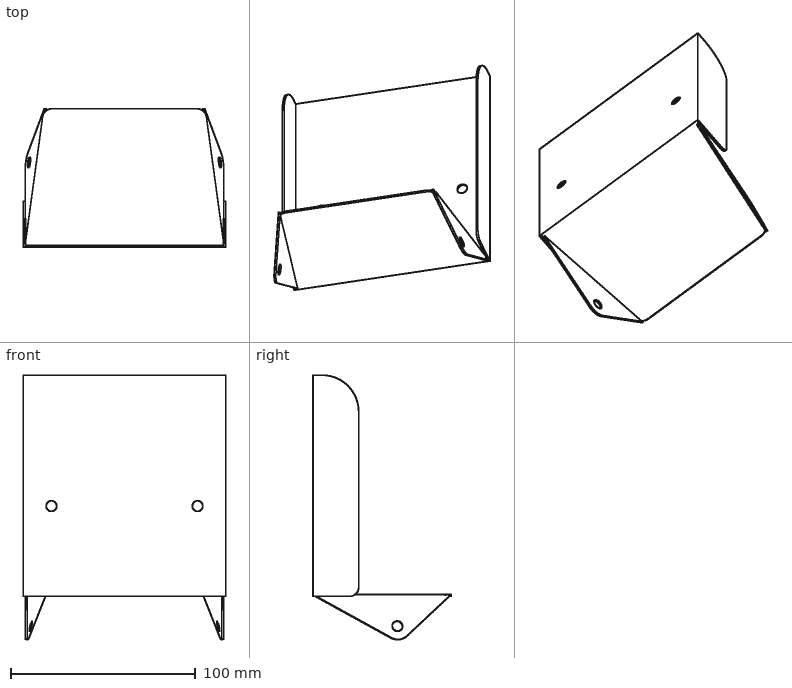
import cadquery as cq
import math

sheet = 1.08
panel_width = 110.0
panel_height = 120.0
panel_hole_spacing = 79.2
panel_hole_height = 49.0
hole_diameter = 5.6

flange_depth = 25.0
flange_top_radius = 20.0
flange_bottom_radius = 5.0

total_depth = 75.0
shelf_front_half = panel_width / 2 - sheet
shelf_rear_half = 43.8
shelf_corner_radius = 5.0

total_height = 143.5
ear_splay = math.radians(14)
ear_hole_y = 46.0
ear_tip_radius = 7.5
ear_front_setback = 0.9
ear_drop = total_height - panel_height - sheet * math.sin(ear_splay)


def make_panel():
    """Upright panel with two fixing holes; its lower front edge is on Z = 0."""
    panel = cq.Workplane("XY").box(panel_width, sheet, panel_height, centered=(True, False, False))
    holes = (
        cq.Workplane("XZ")
        .pushPoints([(side * panel_hole_spacing / 2, panel_hole_height) for side in (-1, 1)])
        .circle(hole_diameter / 2)
        .extrude(-sheet)
    )
    return panel.cut(holes)


def make_flange():
    """Flange on the +X side, rounded at its free corners."""
    flange = (
        cq.Workplane("XY")
        .box(sheet, flange_depth, panel_height, centered=False)
        .translate((panel_width / 2 - sheet, 0, 0))
    )
    flange = flange.edges("|X and >Y and >Z").fillet(flange_top_radius)
    return flange.edges("|X and >Y and <Z").fillet(flange_bottom_radius)


def make_shelf():
    """Horizontal trapezoid behind the panel, with rounded rear corners."""
    return (
        cq.Workplane("XY")
        .polyline([
            (-shelf_front_half, sheet),
            (shelf_front_half, sheet),
            (shelf_rear_half, total_depth),
            (-shelf_rear_half, total_depth),
        ])
        .close()
        .extrude(sheet)
        .edges("|Z and >Y")
        .fillet(shelf_corner_radius)
    )


def tangent_point(corner, center, radius, side):
    """Point where the line from corner touches the circle, on the chosen side."""
    dx = corner[0] - center[0]
    dy = corner[1] - center[1]
    angle = math.atan2(dy, dx) + side * math.acos(radius / math.hypot(dx, dy))
    return (center[0] + radius * math.cos(angle), center[1] + radius * math.sin(angle))


def make_ear():
    """Triangular +X ear with a round tip and a hole concentric with it."""
    taper = math.atan2(shelf_front_half - shelf_rear_half, total_depth - sheet)
    fold = cq.Vector(-math.sin(taper), math.cos(taper), 0)
    normal = cq.Vector(
        math.cos(taper) * math.cos(ear_splay),
        math.sin(taper) * math.cos(ear_splay),
        math.sin(ear_splay),
    )
    plane = cq.Plane(origin=(shelf_front_half, sheet, 0), xDir=fold, normal=normal)

    top = sheet / math.cos(ear_splay)
    hole_v = -(ear_drop - ear_tip_radius * math.cos(ear_splay)) / math.cos(ear_splay)
    splay_shift = -hole_v * math.sin(ear_splay) * math.sin(taper)
    hole_u = (ear_hole_y - sheet - splay_shift) / math.cos(taper)
    center = (hole_u, hole_v)

    front = (ear_front_setback, 0)
    rear_u = (total_depth - sheet + sheet * math.tan(ear_splay) * math.sin(taper)) / math.cos(taper)
    rear = (rear_u, top)
    tip = (hole_u, hole_v - ear_tip_radius)
    return (
        cq.Workplane(plane)
        .moveTo(ear_front_setback, top)
        .lineTo(*front)
        .lineTo(*tangent_point(front, center, ear_tip_radius, 1))
        .threePointArc(tip, tangent_point(rear, center, ear_tip_radius, -1))
        .lineTo(*rear)
        .close()
        .moveTo(*center)
        .circle(hole_diameter / 2)
        .extrude(-sheet)
    )


result = make_panel().union(make_shelf())
for side_part in (make_flange(), make_ear()):
    result = result.union(side_part).union(side_part.mirror("YZ"))